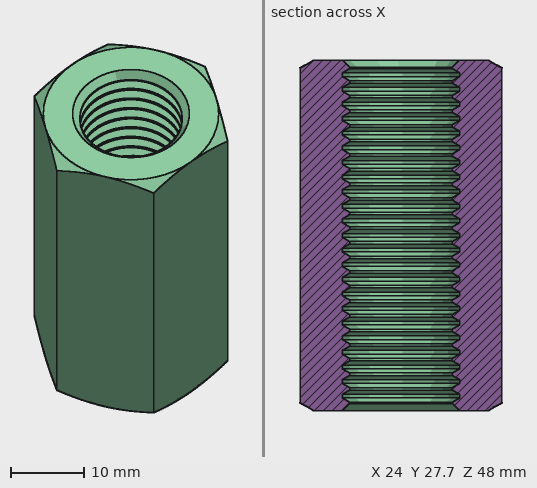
import cadquery as cq
import math

height = 48.0
across_flats = 24.0
side_count = 6
minor_diameter = 14.0
major_diameter = 16.0
outer_chamfer_angle = 30.0
bore_chamfer_angle = 45.0

groove_count = 23
flank_angle = 30.0

envelope_margin = 0.5

half_side_angle = 180 / side_count
across_corners = across_flats / math.cos(math.radians(half_side_angle))
minor_radius = minor_diameter / 2
major_radius = major_diameter / 2
thread_depth = major_radius - minor_radius
pitch = height / (groove_count + 1)
root_flat = pitch / 4
groove_mouth = root_flat + 2 * thread_depth * math.tan(math.radians(flank_angle))
bore_chamfer_height = thread_depth * math.tan(math.radians(bore_chamfer_angle))


def revolve_profile(points):
    """Turn a closed (radius, height) outline around the Z axis."""
    return cq.Workplane("XZ").polyline(points).close().revolve(360, (0, 0, 0), (0, 1, 0))


def hexagon_body():
    """Hexagonal bar with two flats facing +X and -X, corners chamfered at both ends."""
    bar = (
        cq.Workplane("XY")
        .transformed(rotate=(0, 0, half_side_angle))
        .polygon(side_count, across_corners)
        .extrude(height)
    )
    face_radius = across_flats / 2
    envelope_radius = across_corners / 2 + envelope_margin
    slope = math.tan(math.radians(outer_chamfer_angle))
    drop = (envelope_radius - face_radius) * slope
    envelope = revolve_profile([
        (0, 0),
        (face_radius, 0),
        (envelope_radius, drop),
        (envelope_radius, height - drop),
        (face_radius, height),
        (0, height),
    ])
    return bar.intersect(envelope)


def threaded_bore():
    """Solid to remove: minor bore, end chamfers and evenly spaced ring grooves."""
    outline = [
        (0, 0),
        (major_radius, 0),
        (minor_radius, bore_chamfer_height),
    ]
    for groove in range(1, groove_count + 1):
        middle = groove * pitch
        outline += [
            (minor_radius, middle - groove_mouth / 2),
            (major_radius, middle - root_flat / 2),
            (major_radius, middle + root_flat / 2),
            (minor_radius, middle + groove_mouth / 2),
        ]
    outline += [
        (minor_radius, height - bore_chamfer_height),
        (major_radius, height),
        (0, height),
    ]
    return revolve_profile(outline)


result = hexagon_body().cut(threaded_bore())